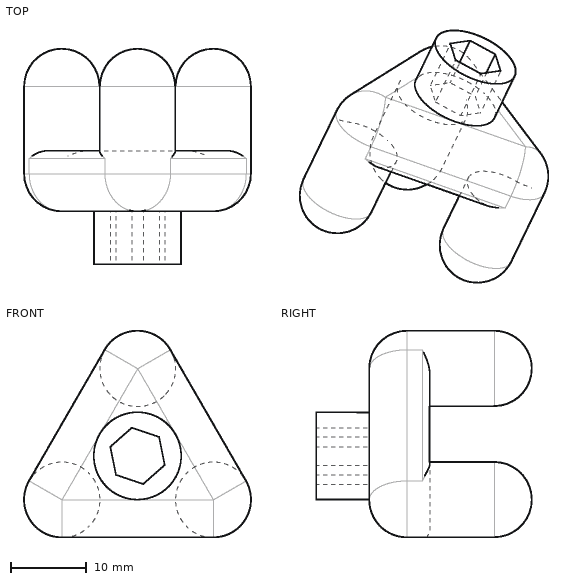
import cadquery as cq
import math

leg_spacing = 20.0
bar_radius = 5.0
leg_length = 11.5
plate_straight = 2.0
back_fillet = 1.0
boss_length = 7.0
socket_sides = 6
socket_corner_radius = 3.79
socket_angle = 101.4
socket_depth = boss_length

corner_angles = (90, 210, 330)

leg_circle_radius = leg_spacing / math.sqrt(3)
side_distance = leg_circle_radius / 2
boss_radius = side_distance
plate_back = plate_straight + back_fillet
plate_front = -bar_radius
boss_front = plate_front - boss_length
diagonal = math.sqrt(0.5)


def polar_point(radius, angle_degrees):
    """Point (X, Z) at a given direction around the boss axis."""
    angle = math.radians(angle_degrees)
    return (radius * math.cos(angle), radius * math.sin(angle))


def prism(points, y_start, length):
    """Extrude an X-Z polygon towards +Y."""
    plane = cq.Workplane("XZ", origin=(0, y_start, 0))
    return plane.polyline(points).close().extrude(-length)


def make_rail(angle):
    """Rounded edge along one side of the triangle, facing the given direction."""
    x, z = polar_point(side_distance, angle)
    outward_x, outward_z = polar_point(1, angle)
    outward = (outward_x, 0, outward_z)
    side_direction = cq.Vector(*outward).cross(cq.Vector(0, 1, 0))
    profile_plane = cq.Plane(origin=(x, 0, z), xDir=outward, normal=side_direction)
    shoulder = bar_radius - back_fillet
    front_mid = (bar_radius * diagonal, -bar_radius * diagonal)
    back_mid = (
        shoulder + back_fillet * diagonal,
        plate_straight + back_fillet * diagonal,
    )
    return (
        cq.Workplane(profile_plane)
        .moveTo(0, plate_front)
        .threePointArc(front_mid, (bar_radius, 0))
        .lineTo(bar_radius, plate_straight)
        .threePointArc(back_mid, (shoulder, plate_back))
        .lineTo(0, plate_back)
        .close()
        .extrude(leg_spacing / 2, both=True)
    )


def make_plate():
    """Triangular plate with a rounded rail along each side."""
    corners = [polar_point(leg_circle_radius, angle) for angle in corner_angles]
    plate = prism(corners, plate_front, plate_back - plate_front)
    for angle in corner_angles:
        plate = plate.union(make_rail(angle + 180))
    return plate


def make_leg(angle):
    """Round leg parallel to Y with a hemisphere at each end, placed at a corner direction."""
    mid = bar_radius * diagonal
    return (
        cq.Workplane("XY")
        .moveTo(0, plate_front)
        .threePointArc((mid, -mid), (bar_radius, 0))
        .lineTo(bar_radius, leg_length)
        .threePointArc((mid, leg_length + mid), (0, leg_length + bar_radius))
        .close()
        .revolve(360, (0, 0), (0, 1))
        .translate((leg_circle_radius, 0, 0))
        .rotate((0, 0, 0), (0, -1, 0), angle)
    )


def make_boss():
    """Round boss standing on the plate's front face."""
    plane = cq.Workplane("XZ", origin=(0, plate_front, 0))
    return plane.circle(boss_radius).extrude(boss_length)


def make_socket():
    """Hexagonal key socket in the boss."""
    step = 360 / socket_sides
    corners = [polar_point(socket_corner_radius, socket_angle + step * i) for i in range(socket_sides)]
    return prism(corners, boss_front, socket_depth)


result = make_plate()
for corner_angle in corner_angles:
    result = result.union(make_leg(corner_angle))
result = result.union(make_boss()).cut(make_socket()).clean().solids()